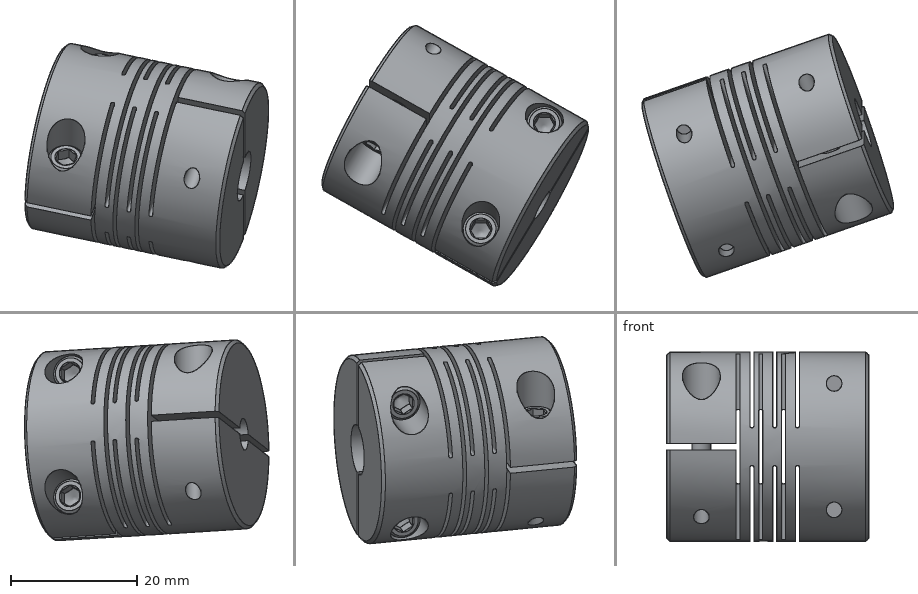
import cadquery as cq
import math


OUTER_DIAMETER = 30.0
LENGTH = 32.0
RIM_CHAMFER = 0.5
HUB_LENGTH = 11.0
LEFT_BORE = 5.0
RIGHT_BORE = 8.0
MIDDLE_BORE = 13.2

SLOT_WIDTH = 0.6
SLOT_PITCH = 3.6
SLOTS_PER_DIRECTION = 3
BRIDGE_WIDTH = 6.0

SLIT_WIDTH = 1.0

SCREW_INSET = 5.5
SCREW_OFFSET = 10.0
THREAD_DIAMETER = 3.0
SHANK_LENGTH = 10.0
TAP_HOLE_DIAMETER = 2.46
COUNTERBORE_DIAMETER = 6.0
HEAD_DIAMETER = 5.6
HEAD_HEIGHT = 3.0
HEAD_CHAMFER = 0.4
SEAT_HEIGHT = 4.5
SOCKET_FLATS = 3.0
SOCKET_DEPTH = 2.0
SOCKET_RIM_DIAMETER = 3.5
SOCKET_CONE_ANGLE = 120.0

MIDDLE_LENGTH = LENGTH - 2 * HUB_LENGTH
FIRST_SLOT_X = -MIDDLE_LENGTH / 2 + SLOT_WIDTH / 2
SLIT_END_X = FIRST_SLOT_X
SCREW_X = -LENGTH / 2 + SCREW_INSET
SCREW_TIP_Z = SEAT_HEIGHT - SHANK_LENGTH
CUT_REACH = OUTER_DIAMETER / 2 + 1.0


def to_other_end(shape):
    """Half turn about the Y = Z diagonal: swaps the two hubs, and Y with Z."""
    return shape.rotate((0, 0, 0), (0, 1, 1), 180)


def x_cylinder(diameter, start_x, length):
    return cq.Workplane("YZ", origin=(start_x, 0, 0)).circle(diameter / 2).extrude(length)


def z_cylinder(diameter, y, bottom_z, top_z):
    plane = cq.Workplane("XY", origin=(SCREW_X, y, bottom_z))
    return plane.circle(diameter / 2).extrude(top_z - bottom_z)


def flexure_slots():
    """Round-bottomed slots cut in from both Y sides, open at the outside."""
    bottom_y = BRIDGE_WIDTH / 2
    arc_y = bottom_y + SLOT_WIDTH / 2
    cutter = cq.Workplane("XY")
    for index in range(SLOTS_PER_DIRECTION):
        x = FIRST_SLOT_X + index * SLOT_PITCH
        for side in (-1, 1):
            slot = (
                cq.Workplane("XY")
                .moveTo(x - SLOT_WIDTH / 2, side * CUT_REACH)
                .lineTo(x - SLOT_WIDTH / 2, side * arc_y)
                .threePointArc((x, side * bottom_y), (x + SLOT_WIDTH / 2, side * arc_y))
                .lineTo(x + SLOT_WIDTH / 2, side * CUT_REACH)
                .close()
                .extrude(CUT_REACH, both=True)
            )
            cutter = cutter.add(slot)
    return cutter.combine()


def clamp_slit():
    """Flat slit splitting the left hub, ending in the first flexure slot."""
    length = SLIT_END_X + LENGTH / 2
    center_x = SLIT_END_X - length / 2
    return cq.Workplane("XY").box(length, 2 * CUT_REACH, SLIT_WIDTH).translate((center_x, 0, 0))


def screw_hole(y):
    """Counterbore, close-fitting shank hole and narrower tap hole below the tip."""
    counterbore = z_cylinder(COUNTERBORE_DIAMETER, y, SEAT_HEIGHT, CUT_REACH)
    shank_hole = z_cylinder(THREAD_DIAMETER, y, SCREW_TIP_Z, SEAT_HEIGHT)
    tap_hole = z_cylinder(TAP_HOLE_DIAMETER, y, -CUT_REACH, SCREW_TIP_Z)
    return counterbore.union(shank_hole).union(tap_hole)


def make_housing():
    body = x_cylinder(OUTER_DIAMETER, -LENGTH / 2, LENGTH).edges().chamfer(RIM_CHAMFER)
    body = body.cut(x_cylinder(LEFT_BORE, -LENGTH / 2, LENGTH / 2))
    body = body.cut(x_cylinder(RIGHT_BORE, 0, LENGTH / 2))
    body = body.cut(x_cylinder(MIDDLE_BORE, -MIDDLE_LENGTH / 2, MIDDLE_LENGTH))
    end_cutters = [flexure_slots(), clamp_slit()]
    for side in (-1, 1):
        end_cutters.append(screw_hole(side * SCREW_OFFSET))
    for cutter in end_cutters:
        body = body.cut(cutter).cut(to_other_end(cutter))
    return body


def socket_cone(y, base_z, radius):
    """Cone pointing down into the screw head."""
    depth = radius / math.tan(math.radians(SOCKET_CONE_ANGLE / 2))
    base = cq.Vector(SCREW_X, y, base_z)
    return cq.Workplane(cq.Solid.makeCone(radius, 0, depth, base, cq.Vector(0, 0, -1)))


def hex_socket(y, top_z):
    """Hexagonal socket with a conical bottom and a countersunk rim."""
    across_corners = SOCKET_FLATS / math.cos(math.pi / 6)
    floor_z = top_z - SOCKET_DEPTH
    plane = cq.Workplane("XY", origin=(SCREW_X, y, top_z)).transformed(rotate=(0, 0, 90))
    hexagon = plane.polygon(6, across_corners).extrude(-2 * SOCKET_DEPTH)
    bore = z_cylinder(SOCKET_RIM_DIAMETER, y, floor_z, top_z)
    bottom = socket_cone(y, floor_z, SOCKET_RIM_DIAMETER / 2)
    rim = socket_cone(y, top_z, SOCKET_RIM_DIAMETER / 2)
    return hexagon.intersect(bore.union(bottom)).union(rim)


def make_clamp_screw(y):
    """Socket head screw of the left hub, head up and resting on its seat."""
    head_top_z = SEAT_HEIGHT + HEAD_HEIGHT
    head = z_cylinder(HEAD_DIAMETER, y, SEAT_HEIGHT, head_top_z)
    head = head.faces(">Z").edges().chamfer(HEAD_CHAMFER)
    shank = z_cylinder(THREAD_DIAMETER, y, SCREW_TIP_Z, SEAT_HEIGHT)
    return head.union(shank).cut(hex_socket(y, head_top_z))


housing = make_housing()

clamp_screws = []
for side in (-1, 1):
    screw = make_clamp_screw(side * SCREW_OFFSET)
    clamp_screws.append(screw.val())
    clamp_screws.append(to_other_end(screw).val())

result = cq.Compound.makeCompound([housing.val(), *clamp_screws])